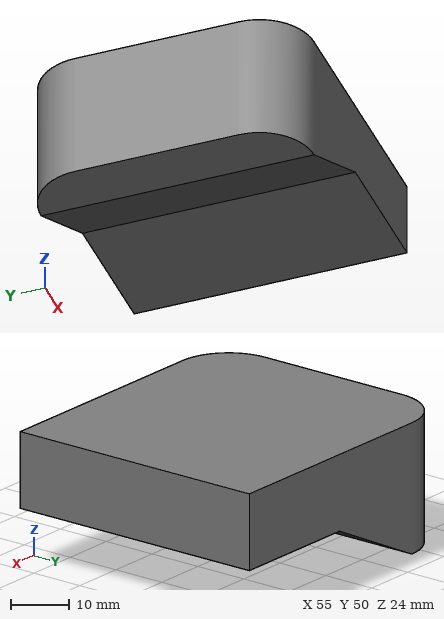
import cadquery as cq

length = 55.0
width = 50.0
height = 24.0

corner_radius = 10.0
slab_thickness = 14.0
slope_end = 30.0
slab_bottom = height - slab_thickness

side_profile = [
    (0, 0),
    (corner_radius, 0),
    (slope_end, slab_bottom),
    (length, slab_bottom),
    (length, height),
    (0, height),
]

body = cq.Workplane("XZ").polyline(side_profile).close().extrude(width / 2, both=True)

result = body.faces("<X").edges("|Z").fillet(corner_radius)